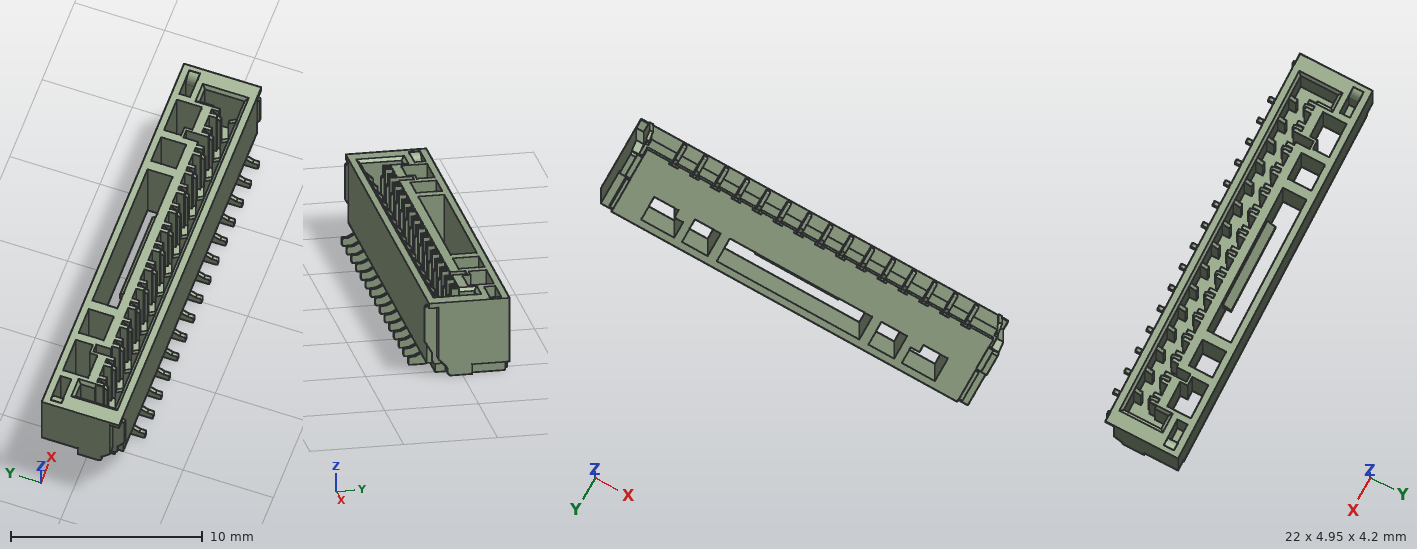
import cadquery as cq


LENGTH = 22.0
DEPTH = 4.3
TOP = 4.2
BOTTOM = 0.09
HALF = LENGTH / 2
STEP_DEPTH = 0.46
STEP_TOP = 0.64

CONTACTS = 15
ROW_LENGTH = 17.5
PITCH = ROW_LENGTH / (CONTACTS - 1)
CONTACT_XS = [-ROW_LENGTH / 2 + i * PITCH for i in range(CONTACTS)]
CONTACT_WIDTH = 0.22
LEAD_REACH = 0.65
LEAD_THICK = 0.45
LEAD_BEND = -0.35
LEAD_HEEL = 0.2
LEAD_ROOT_TOP = 0.62
LEAD_ROOT_BOTTOM = 0.18
LEAD_TIP_RADIUS = 0.09
LEAD_NOTCH_HALF = 0.26
LEAD_NOTCH_HEIGHT = 0.15
LEAD_NOTCH_DEPTH = 0.13

CAVITY_FLOOR = 0.88
CAVITY_FRONT = 0.57
CAVITY_BACK = 1.98
CAVITY_HALF = 9.99
BEVEL = 0.18
BAY_BACK = 2.77
BAY_INNER = 9.2
RIB_FRONT = 1.58
RIB_WIDTH = 0.62

REAR_PRONG_FRONT = 1.43
FRONT_PRONG_BACK = 1.0
FRONT_PRONG_ROOT = 0.46
PRONG_DROP = 0.1
PRONG_FALL = 0.46

WINDOW_BACK = DEPTH - 0.4
WINDOW_FRONT = 2.5
CENTER_WINDOW_HALF = 4.27
MIDDLE_WINDOW = (4.82, 6.35)
OUTER_WINDOW = (6.82, 8.8)
KEY_SLOT_BACK = 2.8
KEY_SLOT_INNER = 6.73
KEY_SLOT_OUTER = CONTACT_XS[-2] - RIB_WIDTH / 2
KEY_WALL = 0.15

LATCH_HALF = 2.5
LATCH_REACH = 0.48
LATCH_TOP = 3.08
LATCH_HEIGHT = 0.88

POCKET = (9.17, 10.71)
POCKET_FRONT = 3.3
POCKET_DEPTH = 2.65
POCKET_ROUND = 0.53
POCKET_ROUND_DROP = 0.05

PLATE_INSET = 0.45
PLATE_THICK = 0.2
PLATE_INNER = PLATE_INSET + PLATE_THICK
PLATE_TOP = 3.94
PLATE_PROUD = 0.13
BLADE_SLOPE_TOP = 1.9
BLADE_SLOPE_BOTTOM = 1.23
BLADE_NECK = 0.26
BLADE_NECK_BOTTOM = 0.8
BLADE_TAIL = 0.35
FOOT_BACK = DEPTH - 0.13
FOOT_FRONT = 2.29
FOOT_CHAMFER = 0.07
END_RECESS_DEPTH = 0.5
END_RECESS_UNDERCUT = 1.0
END_SLOPE_TOP = 1.05
END_SLOPE_BOTTOM = 0.48
CHANNEL_WIDTH = 0.3
CHANNEL_TOP = 0.22


def block(x0, x1, y0, y1, z0, z1):
    """Box between two opposite corners."""
    return cq.Workplane("XY").box(x1 - x0, y1 - y0, z1 - z0, centered=False).translate((x0, y0, z0))


def slab(points, x0, x1):
    """Outline given as (Y, Z) points, extruded from x0 to x1."""
    return cq.Workplane("YZ").polyline(points).close().extrude(x1 - x0).translate((x0, 0, 0))


def both_ends(shape):
    """The shape together with its mirror image at the other end."""
    return shape.union(shape.mirror("YZ"))


def mouth_bevel(x0, x1, y0, y1):
    """Cutter narrowing downwards from the given mouth rectangle at 45 degrees."""
    return (
        cq.Workplane("XY", origin=((x0 + x1) / 2, (y0 + y1) / 2, TOP))
        .rect(x1 - x0, y1 - y0)
        .extrude(-BEVEL, taper=45)
    )


def housing():
    body = block(-HALF, HALF, 0, DEPTH, BOTTOM, TOP)
    return body.cut(block(-HALF, HALF, 0, STEP_DEPTH, BOTTOM, STEP_TOP))


def cut_cavity(body):
    cavity = block(-CAVITY_HALF, CAVITY_HALF, CAVITY_FRONT, CAVITY_BACK, CAVITY_FLOOR, TOP)
    bay = block(BAY_INNER, CAVITY_HALF, CAVITY_FRONT, BAY_BACK, CAVITY_FLOOR, TOP)
    body = body.cut(cavity).cut(both_ends(bay))

    for x in CONTACT_XS:
        half = RIB_WIDTH / 2
        body = body.union(block(x - half, x + half, RIB_FRONT, CAVITY_BACK, CAVITY_FLOOR, TOP))

    mouth_half = CAVITY_HALF + BEVEL
    mouth_front = CAVITY_FRONT - BEVEL
    body = body.cut(mouth_bevel(-mouth_half, mouth_half, mouth_front, RIB_FRONT))
    return body.cut(both_ends(mouth_bevel(BAY_INNER - BEVEL, mouth_half, mouth_front, BAY_BACK + BEVEL)))


def cut_windows(body):
    def window(x0, x1):
        return block(x0, x1, WINDOW_FRONT, WINDOW_BACK, BOTTOM, TOP)

    corner = block(
        OUTER_WINDOW[0], KEY_SLOT_OUTER + KEY_WALL, WINDOW_FRONT, KEY_SLOT_BACK + KEY_WALL, BOTTOM, TOP
    )
    key_slot = block(KEY_SLOT_INNER, KEY_SLOT_OUTER, RIB_FRONT, KEY_SLOT_BACK, CAVITY_FLOOR, TOP)
    body = body.cut(window(-CENTER_WINDOW_HALF, CENTER_WINDOW_HALF))
    body = body.cut(both_ends(window(*MIDDLE_WINDOW)))
    body = body.cut(both_ends(window(*OUTER_WINDOW).cut(corner)))
    return body.cut(both_ends(key_slot))


def latch_ramp():
    tip = WINDOW_FRONT + LATCH_REACH
    points = [
        (WINDOW_FRONT, LATCH_TOP),
        (tip, LATCH_TOP - LATCH_REACH),
        (tip, LATCH_TOP - LATCH_HEIGHT),
        (WINDOW_FRONT, LATCH_TOP - LATCH_HEIGHT),
    ]
    return slab(points, -LATCH_HALF, LATCH_HALF)


def corner_pocket():
    """Blind pocket whose outer end wall rounds over into the pocket."""
    inner, outer = POCKET
    round_top = TOP - POCKET_ROUND_DROP
    wall = outer - POCKET_ROUND
    return (
        cq.Workplane("XZ", origin=(0, WINDOW_BACK, 0))
        .moveTo(inner, TOP)
        .lineTo(outer, TOP)
        .lineTo(outer, round_top)
        .radiusArc((wall, round_top - POCKET_ROUND), -POCKET_ROUND)
        .lineTo(wall, TOP - POCKET_DEPTH)
        .lineTo(inner, TOP - POCKET_DEPTH)
        .close()
        .extrude(WINDOW_BACK - POCKET_FRONT)
    )


def end_cutouts():
    """Recesses in the right-hand end wall around the retaining plate."""
    undercut = END_RECESS_UNDERCUT
    corner_points = [
        (0, PLATE_TOP),
        (END_RECESS_DEPTH, PLATE_TOP),
        (END_RECESS_DEPTH, END_SLOPE_TOP),
        (undercut, END_SLOPE_BOTTOM),
        (undercut, CHANNEL_TOP),
        (undercut + CHANNEL_TOP - BOTTOM, BOTTOM),
        (0, BOTTOM),
    ]
    plate_inner = HALF - PLATE_INNER
    plate_outer = HALF - PLATE_INSET
    corner = slab(corner_points, plate_outer, HALF)
    plate_slot = block(plate_inner, plate_outer, 0, END_RECESS_DEPTH, STEP_TOP, PLATE_TOP)
    under_plate = block(plate_inner, plate_outer, 0, undercut, BOTTOM, STEP_TOP)
    foot_notch = block(plate_inner, HALF, FOOT_FRONT, DEPTH, BOTTOM, STEP_TOP)
    channel = block(plate_inner, plate_inner + CHANNEL_WIDTH, 0, FOOT_FRONT, BOTTOM, CHANNEL_TOP)
    return corner.union(plate_slot).union(under_plate).union(foot_notch).union(channel)


def retaining_plate():
    """Right-hand plate: an upright blade at the front and a foot at the rear."""
    blade_points = [
        (END_RECESS_DEPTH, PLATE_TOP),
        (0, PLATE_TOP),
        (-PLATE_PROUD, PLATE_TOP - PLATE_PROUD),
        (-PLATE_PROUD, BLADE_SLOPE_TOP),
        (BLADE_NECK, BLADE_SLOPE_BOTTOM),
        (BLADE_NECK, BLADE_NECK_BOTTOM),
        (BLADE_TAIL, STEP_TOP),
        (END_RECESS_DEPTH, STEP_TOP),
    ]
    plate_inner = HALF - PLATE_INNER
    plate_outer = HALF - PLATE_INSET
    blade = slab(blade_points, plate_inner, plate_outer)
    foot = block(plate_inner, plate_outer, FOOT_FRONT, FOOT_BACK, 0, STEP_TOP)
    foot = foot.faces("<Z").edges("|X").chamfer(FOOT_CHAMFER)
    return blade.union(foot)


def prong(x0, x1, root, tip):
    """Upright prong whose top slopes down from its root towards the middle of the cavity."""
    high = TOP - PRONG_DROP
    points = [
        (root, CAVITY_FLOOR),
        (root, high),
        (tip, high - PRONG_FALL),
        (tip, CAVITY_FLOOR),
    ]
    return slab(points, x0, x1)


def lead(x0, x1):
    """Soldering lead leaving the front step and bending down to the board."""
    root = STEP_DEPTH + LEAD_NOTCH_DEPTH
    points = [
        (root, STEP_TOP),
        (0, LEAD_ROOT_TOP),
        (LEAD_BEND, LEAD_THICK),
        (-LEAD_REACH, LEAD_THICK),
        (-LEAD_REACH, 0),
        (LEAD_HEEL, 0),
        (STEP_DEPTH, LEAD_ROOT_BOTTOM),
        (root, LEAD_ROOT_BOTTOM),
    ]
    return slab(points, x0, x1).faces("<Y").edges("|X").fillet(LEAD_TIP_RADIUS)


def lead_notch(x):
    flare = LEAD_NOTCH_HALF - LEAD_NOTCH_HEIGHT
    return (
        cq.Workplane("XZ", origin=(x, STEP_DEPTH, 0))
        .polyline([
            (-LEAD_NOTCH_HALF, BOTTOM),
            (LEAD_NOTCH_HALF, BOTTOM),
            (flare, BOTTOM + LEAD_NOTCH_HEIGHT),
            (-flare, BOTTOM + LEAD_NOTCH_HEIGHT),
        ])
        .close()
        .extrude(-LEAD_NOTCH_DEPTH)
    )


def add_contacts(body):
    for x in CONTACT_XS:
        x0 = x - CONTACT_WIDTH / 2
        x1 = x + CONTACT_WIDTH / 2
        rib_slot = block(x0, x1, RIB_FRONT, CAVITY_BACK, CAVITY_FLOOR, TOP)
        body = body.cut(rib_slot).cut(lead_notch(x))
        body = body.union(prong(x0, x1, CAVITY_BACK, REAR_PRONG_FRONT))
        body = body.union(prong(x0, x1, FRONT_PRONG_ROOT, FRONT_PRONG_BACK))
        body = body.union(lead(x0, x1))
    return body


result = cut_cavity(housing())
result = cut_windows(result)
result = result.union(latch_ramp())
result = result.cut(both_ends(corner_pocket()))
result = result.cut(both_ends(end_cutouts()))
result = result.union(both_ends(retaining_plate()))
result = add_contacts(result)